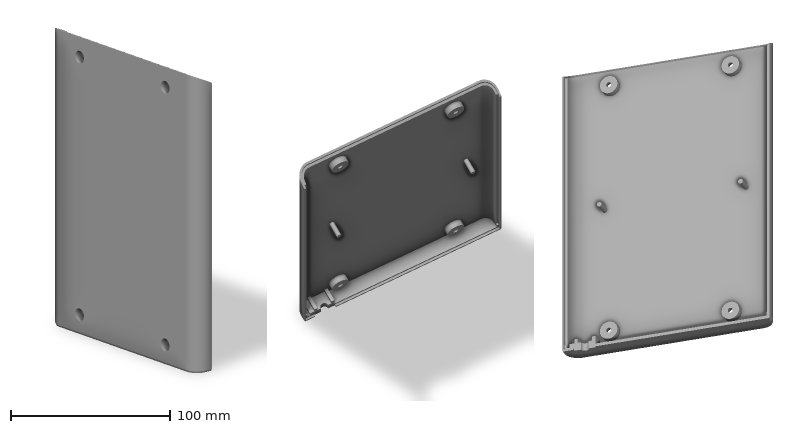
import cadquery as cq
import math

width = 140.0
depth = 13.5
length = 196.5
corner_radius = 9.0
side_wall = 2.5
floor = 3.0
draft_angle = 3.0
mouth_angle = math.radians(25)
overrun = 4.0

lip_thickness = side_wall / 2
lip_floor = floor / 2
end_ledge_y = depth - 1.4
side_ledge_y = depth - 2.5
side_ledge_start_z = 2 * side_wall
mouth_rabbet_depth = 1.4

end_bevel_height = 1.28
end_bevel_inset = 0.5
mouth_bevel = 0.3

screw_pitch_x = 82.0
screw_pitch_z = 170.0
lower_screw_z = 13.0
boss_diameter = 12.4
boss_top_y = 7.0
screw_hole_diameter = 3.3
screw_head_diameter = 8.3
screw_head_depth = 4.7

pin_diameter = 3.1
pin_top_y = 13.0
pin_z = length / 2
pin_xs = (-50.1, 45.0)

cable_x = 55.0
cable_radius = 2.5
lip_gap_width = 14.7
clamp_width = 14.2
clamp_height = 7.9
clamp_slot_width = 9.8
base_height = 5.1
base_right = 65.3


def box(x_range, y_range, z_range):
    """Box between pairs of limits."""
    low, high = zip(x_range, y_range, z_range)
    sizes = [top - bottom for bottom, top in zip(low, high)]
    return cq.Workplane("XY").box(*sizes, centered=False).translate(low)


def around(center, span):
    """Limits of a span centred on a position."""
    return (center - span / 2, center + span / 2)


def trough(side_inset, floor_y, bottom_z):
    """Long prism with two rounded corners along Z, open past the mouth."""
    sides = around(0, width - 2 * side_inset)
    block = box(sides, (floor_y, depth), (bottom_z, length + overrun))
    return block.faces("<Y").edges("|Z").fillet(corner_radius - floor_y)


def stud(x, z, diameter, y_start, y_end, taper=0):
    """Round stud along +Y, narrowing by the taper angle."""
    plane = cq.Plane(origin=(x, y_start, z), xDir=(1, 0, 0), normal=(0, 1, 0))
    return cq.Workplane(plane).circle(diameter / 2).extrude(y_end - y_start, taper=taper)


def beyond_mouth(peak_z):
    """Space above the sloping mouth plane that meets the outer face at peak_z."""
    far_z = length + 2 * overrun
    return (
        cq.Workplane("YZ")
        .polyline([(0, peak_z), (depth, peak_z - depth * math.tan(mouth_angle)), (depth, far_z), (0, far_z)])
        .close()
        .extrude(width / 2, both=True)
    )


mouth_peak_z = length + mouth_bevel * math.sin(mouth_angle)


def outer_body():
    """Trough cut off at the mouth, with a bevelled closed end."""
    body = trough(0, 0, end_bevel_height)
    end_outline = trough(end_bevel_inset, end_bevel_inset, 0).faces("<Z").wires().val()
    full_outline = body.faces("<Z").wires().val()
    bevelled_end = cq.Solid.makeLoft([end_outline, full_outline], ruled=True)
    body = body.cut(beyond_mouth(mouth_peak_z))
    body = body.faces(">Z").edges("not(>Y)").chamfer(mouth_bevel)
    return body.union(cq.Workplane(bevelled_end))


def cavity():
    """Hollow with drafted walls, widest at the open side and running out through the mouth."""
    opening = cq.Plane(origin=(0, depth, 0), xDir=(1, 0, 0), normal=(0, -1, 0))
    opening_length = length + overrun - side_wall
    return (
        cq.Workplane(opening)
        .center(0, side_wall + opening_length / 2)
        .rect(width - 2 * side_wall, opening_length)
        .extrude(depth - floor, taper=draft_angle)
        .faces("<Y")
        .edges("|Z")
        .fillet(corner_radius - floor)
    )


def lip_rabbet():
    """Step along the end wall, a deeper one along both sides, and one around the mouth."""
    inside_lip = trough(lip_thickness, lip_floor, lip_thickness)
    full_x = around(0, width)
    steps = box(full_x, (end_ledge_y, depth), (0, length))
    steps = steps.union(box(full_x, (side_ledge_y, depth), (side_ledge_start_z, length)))
    steps = steps.union(beyond_mouth(mouth_peak_z - mouth_rabbet_depth))
    return inside_lip.intersect(steps)


def add_screw_bosses(body):
    for x in around(0, screw_pitch_x):
        for z in (lower_screw_z, lower_screw_z + screw_pitch_z):
            body = body.union(stud(x, z, boss_diameter, lip_floor, boss_top_y, draft_angle))
            body = body.cut(stud(x, z, screw_hole_diameter, 0, boss_top_y))
            body = body.cut(stud(x, z, screw_head_diameter, 0, screw_head_depth, draft_angle))
    return body


def add_pins(body):
    for x in pin_xs:
        body = body.union(stud(x, pin_z, pin_diameter, lip_floor, pin_top_y))
    return body


def add_cable_exit(body):
    """Low base in the corner, two clamp ribs on it, and a round notch through the end wall."""
    clamp_x = around(cable_x, clamp_width)
    rib_y = (lip_floor, end_ledge_y)
    body = body.union(box((clamp_x[0], base_right), rib_y, (lip_thickness, base_height)))
    ribs = box(clamp_x, rib_y, (lip_thickness, clamp_height))
    slot = box(around(cable_x, clamp_slot_width), (floor, depth), (base_height, clamp_height))
    body = body.union(ribs.cut(slot))
    body = body.cut(box(around(cable_x, lip_gap_width), (end_ledge_y, depth), (0, clamp_height)))
    notch = cq.Workplane("XY").center(cable_x, end_ledge_y).circle(cable_radius).extrude(clamp_height)
    return body.cut(notch)


shell = outer_body().cut(cavity()).cut(lip_rabbet())
shell = add_screw_bosses(shell)
shell = add_pins(shell)
result = add_cable_exit(shell)